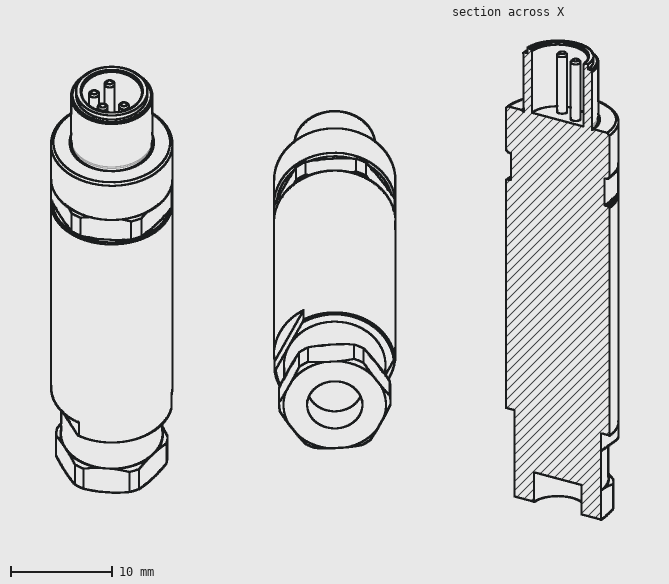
import cadquery as cq
import math

TOTAL_HEIGHT = 49.6
LIP_BASE = 49.05
COLLAR_TOP = 42.65
COLLAR_BASE = 37.55
BODY_TOP = 34.6
BODY_BASE = 7.55
FLAT_TOP = 9.45
END_NUT_TOP = 3.2

OUTER_RADIUS = 6.0
PLUG_RADIUS = 4.0
LIP_RADIUS = 3.5
NECK_RADIUS = 5.0

COLLAR_CHAMFER = 0.25
BODY_CHAMFER = 0.15
PLUG_CHAMFER = 0.15

RELIEF_RADIUS = 3.95
RELIEF_TOP = 43.1
RELIEF_TAPER_HEIGHT = 0.25
COUNTERSINK_RADIUS = 4.15
COUNTERSINK_DEPTH = 0.15

UPPER_NUT_APOTHEM = 5.45
UPPER_NUT_RADIUS = OUTER_RADIUS
END_NUT_APOTHEM = NECK_RADIUS
END_NUT_RADIUS = 5.5
NUT_CHAMFER_WIDTH = 0.45
NUT_CHAMFER_HEIGHT = 0.25

BORE_RADIUS = 3.0
BORE_CHAMFER_WIDTH = 0.1
BORE_CHAMFER_HEIGHT = 0.2
BORE_FLOOR = COLLAR_TOP
PIN_RADIUS = 0.5
PIN_TIP = 49.1
PIN_CHAMFER_WIDTH = 0.2
PIN_CHAMFER_HEIGHT = 0.25
UPPER_PIN_X, UPPER_PIN_Y = 1.75, 0.55
LOWER_PIN_X, LOWER_PIN_Y = 1.05, -1.45

CABLE_HOLE_RADIUS = 2.75


def cylinder(radius, base, top):
    """Solid cylinder on the connector axis between two heights."""
    return cq.Workplane("XY").workplane(offset=base).circle(radius).extrude(top - base)


def turned(profile):
    """Solid of revolution about the connector axis from (radius, height) points."""
    return cq.Workplane("XZ").polyline(profile).close().revolve(360, (0, 0, 0), (0, 1, 0))


def hex_nut(apothem, corner_radius, base, top):
    """Hexagon with flats facing +Y and -Y, its corners rounded and chamfered at both ends."""
    corner_diameter = 2 * apothem / math.cos(math.pi / 6)
    hexagon = cq.Workplane("XY").workplane(offset=base).polygon(6, corner_diameter).extrude(top - base)
    end_radius = corner_radius - NUT_CHAMFER_WIDTH
    envelope = turned(
        [
            (0, base),
            (end_radius, base),
            (corner_radius, base + NUT_CHAMFER_HEIGHT),
            (corner_radius, top - NUT_CHAMFER_HEIGHT),
            (end_radius, top),
            (0, top),
        ]
    )
    return hexagon.intersect(envelope)


def collar():
    """Ring with chamfered rims and a countersink around the plug."""
    ring = cylinder(OUTER_RADIUS, COLLAR_BASE, COLLAR_TOP).edges().chamfer(COLLAR_CHAMFER)
    countersink_floor = COLLAR_TOP - COUNTERSINK_DEPTH
    countersink = turned(
        [
            (0, countersink_floor),
            (RELIEF_RADIUS, countersink_floor),
            (COUNTERSINK_RADIUS, COLLAR_TOP),
            (0, COLLAR_TOP),
        ]
    )
    return ring.cut(countersink)


def body():
    """Long sleeve with two wrench flats at its lower end."""
    sleeve = cylinder(OUTER_RADIUS, BODY_BASE, BODY_TOP).edges().chamfer(BODY_CHAMFER)
    flat_height = FLAT_TOP - BODY_BASE
    flat_depth = OUTER_RADIUS - NECK_RADIUS
    for side in (1, -1):
        flat = cq.Workplane("XY").box(2 * OUTER_RADIUS, flat_depth, flat_height).translate(
            (0, side * (NECK_RADIUS + flat_depth / 2), BODY_BASE + flat_height / 2)
        )
        sleeve = sleeve.cut(flat)
    return sleeve


def plug():
    """Hollow plug with a relief at its root, a stepped lip and a chamfered mouth."""
    outside = turned(
        [
            (0, COLLAR_TOP - COUNTERSINK_DEPTH),
            (RELIEF_RADIUS, COLLAR_TOP - COUNTERSINK_DEPTH),
            (RELIEF_RADIUS, RELIEF_TOP - RELIEF_TAPER_HEIGHT),
            (PLUG_RADIUS, RELIEF_TOP),
            (PLUG_RADIUS, LIP_BASE - PLUG_CHAMFER),
            (PLUG_RADIUS - PLUG_CHAMFER, LIP_BASE),
            (LIP_RADIUS, LIP_BASE),
            (LIP_RADIUS, TOTAL_HEIGHT),
            (0, TOTAL_HEIGHT),
        ]
    )
    bore = turned(
        [
            (0, BORE_FLOOR),
            (BORE_RADIUS, BORE_FLOOR),
            (BORE_RADIUS, TOTAL_HEIGHT - BORE_CHAMFER_HEIGHT),
            (BORE_RADIUS + BORE_CHAMFER_WIDTH, TOTAL_HEIGHT),
            (0, TOTAL_HEIGHT),
        ]
    )
    return outside.cut(bore)


def pins():
    """Four contact pins with tapered tips standing on the socket floor."""
    pin = turned(
        [
            (0, BORE_FLOOR),
            (PIN_RADIUS, BORE_FLOOR),
            (PIN_RADIUS, PIN_TIP - PIN_CHAMFER_HEIGHT),
            (PIN_RADIUS - PIN_CHAMFER_WIDTH, PIN_TIP),
            (0, PIN_TIP),
        ]
    )
    group = cq.Workplane("XY")
    for side in (1, -1):
        group = group.add(pin.translate((side * UPPER_PIN_X, UPPER_PIN_Y, 0)))
        group = group.add(pin.translate((side * LOWER_PIN_X, LOWER_PIN_Y, 0)))
    return group.combine()


def end_nut():
    """Lower hexagonal nut with the cable entry through it."""
    nut = hex_nut(END_NUT_APOTHEM, END_NUT_RADIUS, 0, END_NUT_TOP)
    return nut.cut(cylinder(CABLE_HOLE_RADIUS, 0, END_NUT_TOP))


result = (
    end_nut()
    .union(cylinder(NECK_RADIUS, END_NUT_TOP, BODY_BASE))
    .union(body())
    .union(hex_nut(UPPER_NUT_APOTHEM, UPPER_NUT_RADIUS, BODY_TOP, COLLAR_BASE))
    .union(collar())
    .union(plug())
    .union(pins())
)